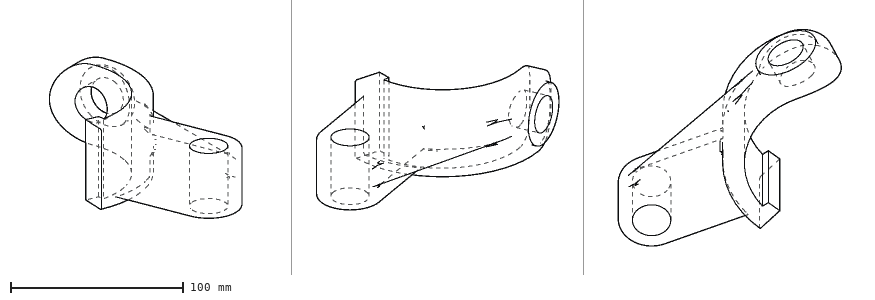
import cadquery as cq
import math

band_width = 50.8
bore_radius = 50.8
band_radius = 63.5
end_angle = -25.0
end_round_radius = band_width / 2

lip_flat_distance = 45.7
lip_start_angle = -14.0

boss_diameter = 38.0
boss_face_y = 66.7
hole_diameter = 22.3

pivot_x = 114.3
arm_width = 39.0
arm_radius = arm_width / 2
arm_thickness = 38.0
web_thickness = 12.7

fillet_radius = 1.6
web_edge_radius = 0.8
tolerance = 0.02
root_radius = (bore_radius + band_radius) / 2


def polar(radius, angle):
    """Point at a distance and an angle in degrees from the band axis."""
    return radius * math.cos(math.radians(angle)), radius * math.sin(math.radians(angle))


def prism(outline, height):
    """Extrude a closed outline equally above and below the XY plane."""
    return outline.extrude(height / 2, both=True)


def edges_where(body, test):
    """Workplane holding the edges of the body that pass the test."""
    chosen = [edge for edge in body.edges().vals() if test(edge)]
    return body.newObject(chosen)


def on_band_surface(edge):
    points = [edge.positionAt(fraction) for fraction in (0, 0.5, 1)]
    return all(abs(math.hypot(point.x, point.y) - band_radius) < tolerance for point in points)


def make_band():
    left_angle = 125.0
    middle_angle = (left_angle + end_angle) / 2
    bore_middle_angle = (left_angle + lip_start_angle) / 2
    lip_start_radius = lip_flat_distance / math.cos(math.radians(lip_start_angle - end_angle))
    outline = (
        cq.Workplane("XY")
        .moveTo(*polar(band_radius, end_angle))
        .threePointArc(polar(band_radius, middle_angle), polar(band_radius, left_angle))
        .lineTo(*polar(bore_radius, left_angle))
        .threePointArc(polar(bore_radius, bore_middle_angle), polar(bore_radius, lip_start_angle))
        .lineTo(*polar(lip_start_radius, lip_start_angle))
        .lineTo(*polar(lip_flat_distance, end_angle))
        .close()
    )
    band = prism(outline, band_width)
    rounded_end = (
        cq.Workplane("XZ")
        .circle(end_round_radius)
        .extrude(-band_radius)
    )
    straight_part = cq.Workplane("XY").box(
        2 * band_radius, 4 * band_radius, band_width, centered=(False, True, True)
    )
    band = band.intersect(rounded_end.union(straight_part))

    def on_outer_rim(edge):
        is_end_face_line = edge.geomType() == "LINE"
        return on_band_surface(edge) and not is_end_face_line

    return edges_where(band, on_outer_rim).fillet(fillet_radius)


def make_arm():
    outline = (
        cq.Workplane("XY")
        .moveTo(root_radius, -arm_radius)
        .lineTo(pivot_x, -arm_radius)
        .threePointArc((pivot_x + arm_radius, 0), (pivot_x, arm_radius))
        .lineTo(root_radius, arm_radius)
        .close()
    )
    return prism(outline, arm_thickness).faces("|Z").edges("not <X").fillet(fillet_radius)


def web_outline(inset=0.0):
    """Wedge between band and arm; its long side is their common tangent, moved in by the inset."""
    tangent_angle = math.degrees(math.acos((band_radius - arm_radius) / pivot_x))
    eye_x, eye_y = polar(arm_radius - inset, tangent_angle)
    return (
        cq.Workplane("XY")
        .moveTo(root_radius, 0)
        .lineTo(pivot_x, 0)
        .lineTo(pivot_x + eye_x, eye_y)
        .lineTo(*polar(band_radius - inset, tangent_angle))
        .lineTo(*polar(root_radius, tangent_angle))
        .threePointArc(polar(root_radius, tangent_angle / 2), (root_radius, 0))
        .close()
    )


def make_web_flare():
    """Concave corner fillets from the web's upper face to the band and to the arm."""
    face_z = web_thickness / 2
    band_flare = (
        cq.Workplane("XZ")
        .moveTo(root_radius, face_z)
        .lineTo(band_radius + fillet_radius, face_z)
        .radiusArc((band_radius, face_z + fillet_radius), fillet_radius)
        .lineTo(root_radius, face_z + fillet_radius)
        .close()
        .revolve(360, (0, 0, 0), (0, 1, 0))
    )
    arm_flare = (
        cq.Workplane("YZ", origin=(root_radius, 0, 0))
        .moveTo(0, face_z)
        .lineTo(arm_radius + fillet_radius, face_z)
        .radiusArc((arm_radius, face_z + fillet_radius), fillet_radius)
        .lineTo(0, face_z + fillet_radius)
        .close()
        .extrude(pivot_x + arm_radius - root_radius)
    )
    clip = prism(web_outline(web_edge_radius), 2 * (face_z + fillet_radius))
    return band_flare.union(arm_flare).intersect(clip)


def make_web():
    web = prism(web_outline(), web_thickness)

    def is_long_side(edge):
        box = edge.BoundingBox()
        return edge.geomType() == "LINE" and box.xlen > arm_radius and box.ylen > arm_radius

    web = edges_where(web, is_long_side).fillet(web_edge_radius)
    flare = make_web_flare()
    return web.union(flare).union(flare.mirror("XY"))


def make_boss():
    return (
        cq.Workplane("XZ", origin=(0, boss_face_y, 0))
        .circle(boss_diameter / 2)
        .extrude(boss_face_y - root_radius)
    )


def make_holes():
    boss_hole = cq.Workplane("XZ").circle(hole_diameter / 2).extrude(-boss_face_y)
    pivot_hole = prism(cq.Workplane("XY").center(pivot_x, 0).circle(hole_diameter / 2), arm_thickness)
    return boss_hole.union(pivot_hole)


def is_root(edge):
    """Edge on the band's outer surface where the boss or the arm meets it."""
    below_upper_rim = edge.BoundingBox().zmax < arm_thickness / 2 + fillet_radius
    above_lower_rim = edge.BoundingBox().zmin > -arm_thickness / 2 - fillet_radius
    return on_band_surface(edge) and below_upper_rim and above_lower_rim


result = make_band().union(make_arm()).union(make_boss())
result = edges_where(result, is_root).fillet(fillet_radius)
result = result.union(make_web()).cut(make_holes())